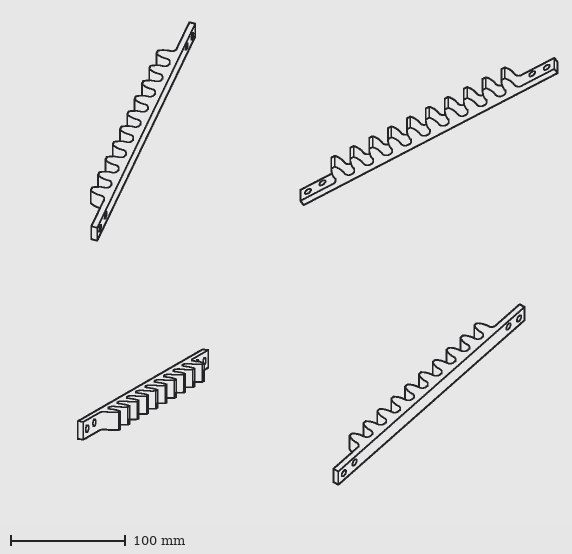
import cadquery as cq

length = 264.4
height = 16.0
overall_depth = 20.4
bar_thickness = 5.5

tooth_count = 10
toothed_length = 196.7
pitch = toothed_length / tooth_count
groove_half_width = 4.8
root_rise = 4.8
root_radius = 4.2
tip_half_width = 1.9
root_half_width = pitch / 2 - groove_half_width

hole_diameter = 6.0
outer_hole_inset = 8.0
inner_hole_inset = 23.0
inner_hole_rise = 1.5

bar_face_x = -bar_thickness
flank_root_x = bar_face_x - root_rise
tip_x = -overall_depth

flank_run = flank_root_x - tip_x
flank_drop = root_half_width - tip_half_width
flank_radius = (flank_run**2 + flank_drop**2) / (2 * flank_drop)


def make_bar_end(side):
    """Plain end of the bar, beyond the teeth, on the -Y (-1) or +Y (1) side."""
    end_length = (length - toothed_length) / 2
    center_y = side * (toothed_length + end_length) / 2
    return cq.Workplane("XY", origin=(bar_face_x / 2, center_y, 0)).box(bar_thickness, end_length, height)


def make_tooth(center_y):
    """One pitch of the rack, from the back of the bar to the tooth tip.

    Each side of the flat tip has a concave root arc and a convex flank that starts along X.
    """
    return (
        cq.Workplane("XY", origin=(0, center_y, -height / 2))
        .moveTo(0, -pitch / 2)
        .lineTo(bar_face_x, -pitch / 2)
        .radiusArc((flank_root_x, -root_half_width), -root_radius)
        .radiusArc((tip_x, -tip_half_width), flank_radius)
        .lineTo(tip_x, tip_half_width)
        .radiusArc((flank_root_x, root_half_width), flank_radius)
        .radiusArc((bar_face_x, pitch / 2), -root_radius)
        .lineTo(0, pitch / 2)
        .close()
        .extrude(height)
    )


def make_holes():
    outer_y = length / 2 - outer_hole_inset
    inner_y = length / 2 - inner_hole_inset
    centers = []
    for side in (-1, 1):
        centers.append((side * outer_y, 0))
        centers.append((side * inner_y, inner_hole_rise))
    return (
        cq.Workplane("YZ", origin=(bar_face_x, 0, 0))
        .pushPoints(centers)
        .circle(hole_diameter / 2)
        .extrude(bar_thickness)
    )


result = make_bar_end(-1)
for index in range(tooth_count):
    tooth_y = (index - (tooth_count - 1) / 2) * pitch
    result = result.union(make_tooth(tooth_y))
result = result.union(make_bar_end(1))
result = result.cut(make_holes())